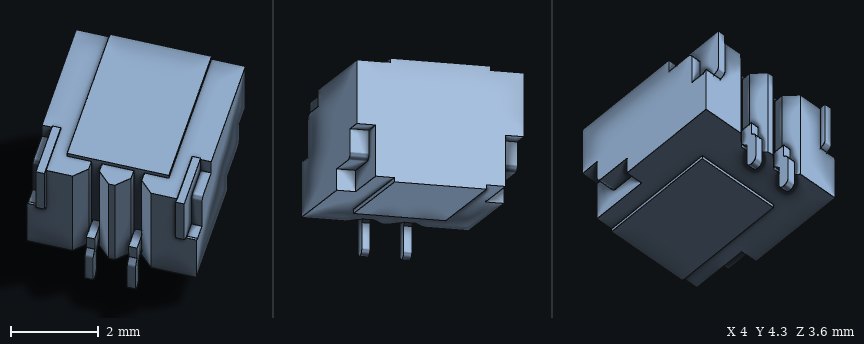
import cadquery as cq
import math


housing_width = 4.0
housing_depth = 4.15
housing_height = 2.7

pad_thickness = 0.1
top_pad_width = 2.4
bottom_pad_width = 2.2
bottom_pad_front = 1.1

contact_pitch = 1.0
contact_xs = [-contact_pitch / 2, contact_pitch / 2]
contact_width = 0.2
contact_thickness = 0.3
arm_top = 0.6
step_top = 0.23
contact_front = -0.15
tail_bottom = -0.8
bend_radius = 0.2
slot_width = 0.25
slot_mouth_depth = 0.3
slot_floor = 0.53

underside_offset = contact_thickness * math.sqrt(2) - step_top
tail_back = contact_front + contact_thickness

tab_thickness = 0.2
tab_inset = 0.25
tab_front = -0.14
tab_back = 1.25
tab_top = 2.75
tab_bottom = 1.3
tab_arm_bottom = 2.3
tab_leg_back = 0.47
tab_slope_start = 0.1
tab_slope_angle = math.radians(30)
tab_tip_radius = 0.1
corner_radius = 0.15

notch_depth = tab_inset + tab_thickness
notch_leg_depth = 0.5
notch_top = 1.2
notch_arm_height = 0.5
notch_length = 1.5

side_x = housing_width / 2
tab_outer_x = side_x - tab_inset
tab_inner_x = tab_outer_x - tab_thickness


def box(x_range, y_range, z_range):
    """Box spanning the given (low, high) limits."""
    size = [high - low for low, high in (x_range, y_range, z_range)]
    corner = (x_range[0], y_range[0], z_range[0])
    return cq.Workplane("XY").box(*size, centered=False).translate(corner)


def plate(profile, x_low, x_high):
    """Extrude a closed YZ profile between two X positions."""
    return profile.extrude(x_high - x_low).translate((x_low, 0, 0))


def mirrored(solid):
    return solid.mirror("YZ")


def tab_profile():
    slope_rise = (tab_slope_start - tab_front) * math.tan(tab_slope_angle)
    tangent = tab_tip_radius * math.tan((math.pi / 2 - tab_slope_angle) / 2)
    tip_z = tab_bottom + slope_rise
    return (
        cq.Workplane("YZ")
        .moveTo(tab_back, tab_top)
        .lineTo(tab_back, tab_arm_bottom)
        .lineTo(tab_leg_back + corner_radius, tab_arm_bottom)
        .radiusArc((tab_leg_back, tab_arm_bottom - corner_radius), -corner_radius)
        .lineTo(tab_leg_back, tab_bottom)
        .lineTo(tab_slope_start, tab_bottom)
        .lineTo(
            tab_front + tangent * math.cos(tab_slope_angle),
            tip_z - tangent * math.sin(tab_slope_angle),
        )
        .radiusArc((tab_front, tip_z + tangent), tab_tip_radius)
        .lineTo(tab_front, tab_top)
        .close()
    )


def make_tab():
    return plate(tab_profile(), tab_inner_x, tab_outer_x)


def contact_profile():
    tangent = bend_radius * math.tan(math.pi / 8)
    bend_z = step_top + contact_front
    end_radius = contact_thickness / 2
    end_z = tail_bottom + end_radius
    return (
        cq.Workplane("YZ")
        .moveTo(slot_floor, arm_top)
        .lineTo(0, arm_top)
        .lineTo(0, step_top)
        .lineTo(
            contact_front + tangent * math.cos(math.pi / 4),
            bend_z + tangent * math.sin(math.pi / 4),
        )
        .radiusArc((contact_front, bend_z - tangent), -bend_radius)
        .lineTo(contact_front, end_z)
        .threePointArc((contact_front + end_radius, tail_bottom), (tail_back, end_z))
        .lineTo(tail_back, tail_back - underside_offset)
        .lineTo(slot_floor, slot_floor - underside_offset)
        .close()
    )


def make_contact(x):
    return plate(contact_profile(), x - contact_width / 2, x + contact_width / 2)


def contact_slot(x):
    """Full-height slot with a flared mouth."""
    half_slot = slot_width / 2
    half_mouth = half_slot + slot_mouth_depth
    return (
        cq.Workplane("XY")
        .polyline([
            (x - half_mouth, 0),
            (x - half_slot, slot_mouth_depth),
            (x - half_slot, slot_floor),
            (x + half_slot, slot_floor),
            (x + half_slot, slot_mouth_depth),
            (x + half_mouth, 0),
        ])
        .close()
        .extrude(housing_height)
    )


def slot_sill(x):
    """Sloped sill at the foot of a slot, on which the contact rests."""
    profile = (
        cq.Workplane("YZ")
        .polyline([
            (slot_floor, 0),
            (slot_floor, slot_floor - underside_offset),
            (slot_mouth_depth, slot_mouth_depth - underside_offset),
            (slot_mouth_depth, 0),
        ])
        .close()
    )
    return plate(profile, x - slot_width / 2, x + slot_width / 2)


def rear_notch():
    leg_front = housing_depth - notch_leg_depth
    profile = (
        cq.Workplane("YZ")
        .moveTo(housing_depth, 0)
        .lineTo(housing_depth, notch_top)
        .lineTo(leg_front, notch_top)
        .lineTo(leg_front, notch_arm_height + corner_radius)
        .radiusArc((leg_front - corner_radius, notch_arm_height), corner_radius)
        .lineTo(housing_depth - notch_length, notch_arm_height)
        .lineTo(housing_depth - notch_length, 0)
        .close()
    )
    return plate(profile, side_x - notch_depth, side_x)


def make_housing():
    body = box((-side_x, side_x), (0, housing_depth), (0, housing_height))
    top_pad = box(
        (-top_pad_width / 2, top_pad_width / 2),
        (slot_floor, housing_depth),
        (housing_height, housing_height + pad_thickness),
    )
    bottom_pad = box(
        (-bottom_pad_width / 2, bottom_pad_width / 2),
        (bottom_pad_front, housing_depth),
        (-pad_thickness, 0),
    )
    body = body.union(top_pad).union(bottom_pad)
    for x in contact_xs:
        body = body.cut(contact_slot(x)).union(slot_sill(x))
    tab_recess = plate(tab_profile(), tab_inner_x, side_x)
    for pocket in (tab_recess, rear_notch()):
        body = body.cut(pocket).cut(mirrored(pocket))
    return body


housing = make_housing()
contacts = [make_contact(x) for x in contact_xs]
right_tab = make_tab()
tabs = [right_tab, mirrored(right_tab)]

result = cq.Compound.makeCompound([body.val() for body in [housing, *contacts, *tabs]])